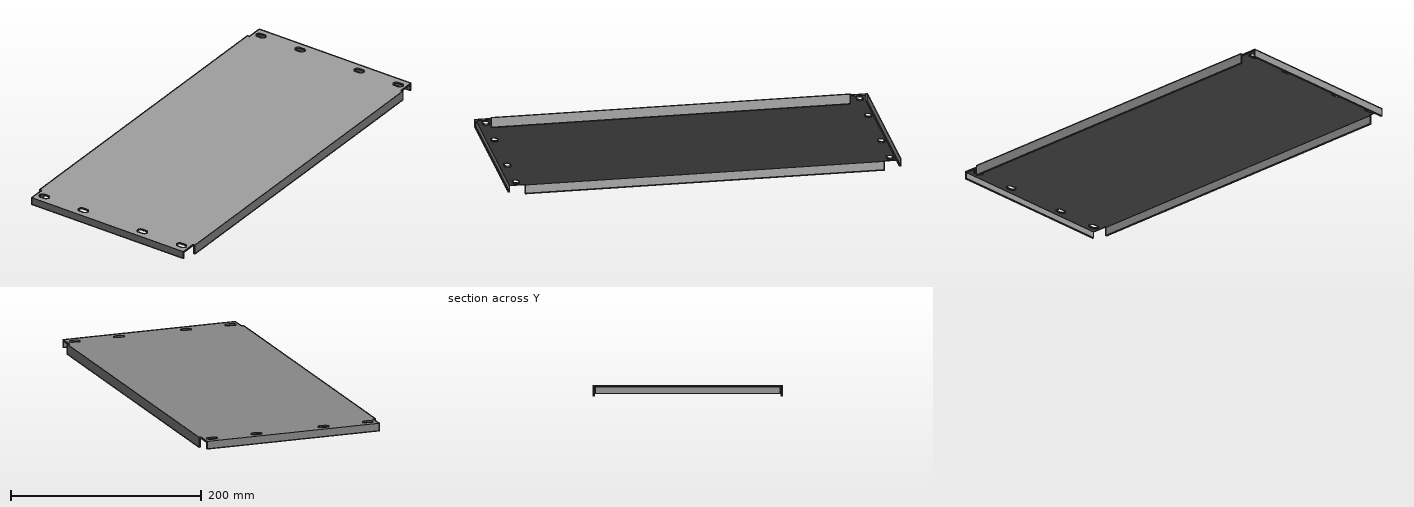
import cadquery as cq

width = 199.0
length = 420.0
height = 11.0
sheet = 1.6

notch_length = 18.0
notch_inset = 2.5
end_flange_height = 8.5

slot_length = 11.8
slot_width = 7.0
slot_x_positions = (38.0, 87.8)
slot_edge_distance = 10.0

end_width = width - 2 * notch_inset
side_length = length - 2 * notch_length
slot_y = length / 2 - slot_edge_distance


def hanging_box(size_x, size_y, depth, x=0, y=0):
    """Box centred at (x, y), hanging down from the top face at Z = 0."""
    return cq.Workplane("XY").center(x, y).rect(size_x, size_y).extrude(-depth)


panel = hanging_box(width, side_length, sheet)
panel = panel.union(hanging_box(end_width, length, sheet))

for side in (-1, 1):
    side_x = side * (width - sheet) / 2
    end_y = side * (length - sheet) / 2
    panel = panel.union(hanging_box(sheet, side_length, height, x=side_x))
    panel = panel.union(hanging_box(end_width, sheet, end_flange_height, y=end_y))

slot_centres = [
    (x_side * x, y_side * slot_y)
    for x in slot_x_positions
    for x_side in (-1, 1)
    for y_side in (-1, 1)
]
slots = (
    cq.Workplane("XY")
    .pushPoints(slot_centres)
    .slot2D(slot_length, slot_width)
    .extrude(-sheet)
)

result = panel.cut(slots)